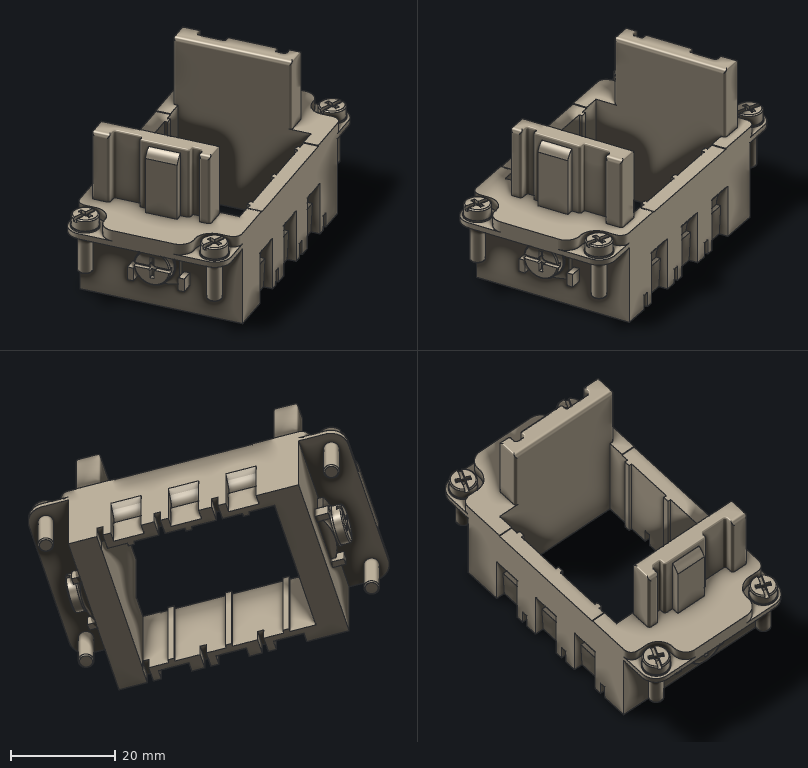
import cadquery as cq
import math

WIDTH = 34.0
LENGTH = 64.0
HEIGHT = 35.0
HALF_WIDTH = WIDTH / 2
HALF_LENGTH = LENGTH / 2

BODY_LENGTH = 46.15
BODY_END = BODY_LENGTH / 2
BODY_TOP = 20.0
OPENING_WIDTH = 27.8
OPENING_LENGTH = 34.6
OPENING_END = OPENING_LENGTH / 2
RAIL_RECESS_LENGTH = 27.5
RAIL_RECESS_DEPTH = 0.2

FLANGE_BOTTOM = 16.6
FLANGE_THICKNESS = 1.15
SEAT_Z = FLANGE_BOTTOM + FLANGE_THICKNESS
FLANGE_RADIUS = 3.5

SCREW_X = 13.5
SCREW_Y = 28.6
SEAT_RADIUS = 3.5
SEAT_INNER_X = 9.4
SEAT_INNER_Y = SCREW_Y - SEAT_RADIUS
SEAT_END_RADIUS = 2.95
SEAT_SIDE_RADIUS = 1.9

COLLAR_DIAMETER = 5.7
COLLAR_HEIGHT = 0.3
HEAD_DIAMETER = 5.45
HEAD_HEIGHT = 2.7
HEAD_CHAMFER = 0.25
SHANK_DIAMETER = 3.0
SHANK_BOTTOM = 7.8
SHANK_CHAMFER = 0.25
DRIVE_ANGLE = 66
DRIVE_WIDTH = 0.8
DRIVE_DEPTH = 0.8
DRIVE_CROSS_LENGTH = 3.1
DRIVE_CENTRE_DIAMETER = 1.3

STATION_PITCH = 11.5
STATIONS = (-STATION_PITCH, 0, STATION_PITCH)
RIB_WIDTH = 1.3
RIB_DEPTH = 0.65
SLOT_WIDTH = 1.2
SLOT_HEIGHT = 3.15
SLOT_OFFSET = 5.25
POCKET_WIDTH = 6.1
POCKET_TOP = 11.2
POCKET_SLOPE = 1.0
POCKET_DEPTH = 2.55
LEDGE_Z = 6.4
LEDGE_DEPTH = 1.6
LEDGE_EDGE = 0.45
POCKET_FOOT_DEPTH = 1.9

TOWER_LEFT = -14.9
TOWER_RIGHT = 9.9
TOWER_OUTER_Y = 22.3
TOWER_MIDDLE_Y = 21.5
TOWER_NOTCH_Y = 20.15
LEFT_LEG_INNER_X = -11.15
RIGHT_LEG_INNER_X = 7.4
MIDDLE_HALF_WIDTH = 5.3
TOWER_EDGE_RADIUS = 0.6
MIDDLE_ROOT_RADIUS = 0.25
TOWER_RIM_RADIUS = 0.45
TOWER_CROWN_RADIUS = 1.0
PAD_WIDTH = 6.65
PAD_TOP = 33.85
PAD_ROUND_BOTTOM = 32.0
PAD_BULGE = 0.2

TERMINAL_Z = 10.95
CLAMP_WIDTH = 8.65
CLAMP_HEIGHT = 8.8
CLAMP_EDGE_DEPTH = 1.15
CLAMP_CENTRE_DEPTH = 2.25
WASHER_DIAMETER = 8.0
WASHER_THICKNESS = 0.4
TERMINAL_SHANK_DIAMETER = 4.0
TERMINAL_DIAMETER = 7.7
TERMINAL_DEPTH = 4.6
TERMINAL_CHAMFER = 0.25
TERMINAL_SLOT_WIDTH = 0.8
TERMINAL_CROSS_LENGTH = 4.5
TERMINAL_CENTRE_DIAMETER = 1.6
TERMINAL_SLOT_DEPTH = 0.95
EAR_CENTRE_X = 5.3
EAR_WIDTH = 1.3
EAR_BOTTOM = 5.95
EAR_HEIGHT = 2.8
EAR_DEPTH = 2.6


def block(size_x, size_y, bottom, top, x=0, y=0):
    """Box centred at (x, y), reaching from bottom to top."""
    return cq.Workplane("XY", origin=(x, y, bottom)).rect(size_x, size_y).extrude(top - bottom)


def both_ends(shape):
    """The shape at the +Y end together with its mirror image at the -Y end."""
    return shape.union(shape.mirror("XZ"))


def all_corners(shape):
    """The shape at the (+X, +Y) corner mirrored into all four corners."""
    return both_ends(shape.union(shape.mirror("YZ")))


def make_seat_cut():
    """Clearance at the (+X, +Y) corner: a round bay flaring out to the two flange edges."""
    bay_x = SEAT_INNER_X + SEAT_RADIUS
    bay_diagonal = SEAT_RADIUS * math.sqrt(0.5)
    end_x = SEAT_INNER_X - SEAT_END_RADIUS
    end_y = HALF_LENGTH - SEAT_END_RADIUS
    end_diagonal = SEAT_END_RADIUS * math.sqrt(0.5)
    side_x = HALF_WIDTH - SEAT_SIDE_RADIUS
    side_y = SEAT_INNER_Y - SEAT_SIDE_RADIUS
    side_diagonal = SEAT_SIDE_RADIUS * math.sqrt(0.5)
    return (
        cq.Workplane("XY", origin=(0, 0, SEAT_Z))
        .moveTo(end_x, HALF_LENGTH)
        .threePointArc((end_x + end_diagonal, end_y + end_diagonal), (SEAT_INNER_X, end_y))
        .lineTo(SEAT_INNER_X, SCREW_Y)
        .threePointArc((bay_x - bay_diagonal, SCREW_Y - bay_diagonal), (bay_x, SEAT_INNER_Y))
        .lineTo(side_x, SEAT_INNER_Y)
        .threePointArc((side_x + side_diagonal, side_y + side_diagonal), (HALF_WIDTH, side_y))
        .lineTo(HALF_WIDTH, HALF_LENGTH)
        .close()
        .extrude(BODY_TOP - SEAT_Z)
    )


def make_frame():
    """Body and flange with the opening, the lowered side rails and the screw seats."""
    flange = block(WIDTH, LENGTH, FLANGE_BOTTOM, BODY_TOP).edges("|Z").fillet(FLANGE_RADIUS)
    flange = flange.cut(all_corners(make_seat_cut()))
    frame = block(WIDTH, BODY_LENGTH, 0, BODY_TOP).union(flange)
    frame = frame.cut(block(OPENING_WIDTH, OPENING_LENGTH, 0, BODY_TOP))
    rib_x = (OPENING_WIDTH - RIB_DEPTH) / 2
    for y in STATIONS:
        for x in (-rib_x, rib_x):
            frame = frame.union(block(RIB_DEPTH, RIB_WIDTH, 0, BODY_TOP, x, y))
    return frame.cut(block(WIDTH, RAIL_RECESS_LENGTH, BODY_TOP - RAIL_RECESS_DEPTH, BODY_TOP))


def make_pocket():
    """Scooped pocket in the -X wall, centred on Y = 0, with a ledge over its flat foot."""
    slope_z = POCKET_TOP - POCKET_SLOPE
    scoop_depth = POCKET_DEPTH - POCKET_SLOPE
    scoop_height = slope_z - LEDGE_Z
    scoop_radius = (scoop_depth**2 + scoop_height**2) / (2 * scoop_depth)
    half_angle = math.asin(scoop_height / scoop_radius) / 2
    scoop_mid = (
        -HALF_WIDTH + POCKET_DEPTH - scoop_radius * (1 - math.cos(half_angle)),
        LEDGE_Z + scoop_radius * math.sin(half_angle),
    )
    return (
        cq.Workplane("XZ", origin=(0, POCKET_WIDTH / 2, 0))
        .moveTo(-HALF_WIDTH, POCKET_TOP)
        .lineTo(-HALF_WIDTH + POCKET_SLOPE, slope_z)
        .threePointArc(scoop_mid, (-HALF_WIDTH + POCKET_DEPTH, LEDGE_Z))
        .lineTo(-HALF_WIDTH + LEDGE_DEPTH, LEDGE_Z)
        .lineTo(-HALF_WIDTH + LEDGE_DEPTH, LEDGE_Z - LEDGE_EDGE)
        .lineTo(-HALF_WIDTH + POCKET_FOOT_DEPTH, 0)
        .lineTo(-HALF_WIDTH, 0)
        .close()
        .extrude(POCKET_WIDTH)
    )


def cut_stations(frame):
    """Cut the pockets and the open-bottomed slots into both side walls."""
    pocket = make_pocket()
    wall_width = (WIDTH - OPENING_WIDTH) / 2
    wall_x = (WIDTH + OPENING_WIDTH) / 4
    pocket_pair = pocket.union(pocket.mirror("YZ"))
    for y in STATIONS:
        frame = frame.cut(pocket_pair.translate((0, y, 0)))
        for x in (-wall_x, wall_x):
            slot = block(wall_width, SLOT_WIDTH, 0, SLOT_HEIGHT, x, y + SLOT_OFFSET)
            frame = frame.cut(slot)
    return frame


def make_tower():
    """Guide tower at the +Y end: two legs and a middle section with a rounded pad."""
    upright = cq.selectors.ParallelDirSelector(cq.Vector(0, 0, 1))
    root = MIDDLE_HALF_WIDTH + MIDDLE_ROOT_RADIUS
    middle_roots = cq.selectors.BoxSelector(
        (-root, TOWER_NOTCH_Y - MIDDLE_ROOT_RADIUS, FLANGE_BOTTOM),
        (root, TOWER_NOTCH_Y + MIDDLE_ROOT_RADIUS, HEIGHT),
    )
    tower = (
        cq.Workplane("XY", origin=(0, 0, FLANGE_BOTTOM))
        .moveTo(TOWER_LEFT, OPENING_END)
        .lineTo(TOWER_LEFT, TOWER_OUTER_Y)
        .lineTo(LEFT_LEG_INNER_X, TOWER_OUTER_Y)
        .lineTo(LEFT_LEG_INNER_X, TOWER_NOTCH_Y)
        .lineTo(-MIDDLE_HALF_WIDTH, TOWER_NOTCH_Y)
        .lineTo(-MIDDLE_HALF_WIDTH, TOWER_MIDDLE_Y)
        .lineTo(MIDDLE_HALF_WIDTH, TOWER_MIDDLE_Y)
        .lineTo(MIDDLE_HALF_WIDTH, TOWER_NOTCH_Y)
        .lineTo(RIGHT_LEG_INNER_X, TOWER_NOTCH_Y)
        .lineTo(RIGHT_LEG_INNER_X, TOWER_OUTER_Y)
        .lineTo(TOWER_RIGHT, TOWER_OUTER_Y)
        .lineTo(TOWER_RIGHT, OPENING_END)
        .close()
        .extrude(HEIGHT - FLANGE_BOTTOM)
        .edges(upright - middle_roots)
        .fillet(TOWER_EDGE_RADIUS)
        .edges(upright & middle_roots)
        .fillet(MIDDLE_ROOT_RADIUS)
        .faces(">Z")
        .edges()
        .fillet(TOWER_RIM_RADIUS)
    )
    depth = TOWER_OUTER_Y - OPENING_END
    width = TOWER_RIGHT - TOWER_LEFT
    crown = block(
        width, depth, FLANGE_BOTTOM, HEIGHT, TOWER_LEFT + width / 2, OPENING_END + depth / 2
    )
    crown = crown.edges("|X and >Z").fillet(TOWER_CROWN_RADIUS)
    return tower.intersect(crown).union(make_pad())


def make_pad():
    """Pad on the tower's outer face, flush with the end wall and rounded off at the top."""
    return (
        cq.Workplane("YZ", origin=(-PAD_WIDTH / 2, 0, 0))
        .moveTo(TOWER_NOTCH_Y, FLANGE_BOTTOM)
        .lineTo(BODY_END, FLANGE_BOTTOM)
        .lineTo(BODY_END, PAD_ROUND_BOTTOM)
        .sagittaArc((TOWER_MIDDLE_Y, PAD_TOP), -PAD_BULGE)
        .lineTo(TOWER_NOTCH_Y, PAD_TOP)
        .close()
        .extrude(PAD_WIDTH)
    )


def make_drive(slot_length, slot_width, cross_length, centre_diameter, depth):
    """Slot and cross recess that sinks from Z = 0 to -depth, with a round centre."""
    slot = block(slot_length, slot_width, -depth, 0)
    cross = block(slot_width, cross_length, -depth, 0)
    centre = cq.Workplane("XY").circle(centre_diameter / 2).extrude(-2 * depth)
    return slot.union(cross).union(centre)


def make_flange_screw():
    """Flange screw on the Z axis, its head resting on the corner seat."""
    head_top = SEAT_Z + HEAD_HEIGHT
    head = (
        cq.Workplane("XY", origin=(0, 0, SEAT_Z))
        .circle(HEAD_DIAMETER / 2)
        .extrude(HEAD_HEIGHT)
        .faces(">Z")
        .chamfer(HEAD_CHAMFER)
    )
    collar = cq.Workplane("XY", origin=(0, 0, SEAT_Z)).circle(COLLAR_DIAMETER / 2)
    head = head.union(collar.extrude(COLLAR_HEIGHT))
    shank = (
        cq.Workplane("XY", origin=(0, 0, SHANK_BOTTOM))
        .circle(SHANK_DIAMETER / 2)
        .extrude(SEAT_Z - SHANK_BOTTOM)
        .faces("<Z")
        .chamfer(SHANK_CHAMFER)
    )
    drive = make_drive(
        HEAD_DIAMETER, DRIVE_WIDTH, DRIVE_CROSS_LENGTH, DRIVE_CENTRE_DIAMETER, DRIVE_DEPTH
    )
    drive = drive.rotate((0, 0, 0), (0, 0, 1), DRIVE_ANGLE).translate((0, 0, head_top))
    return head.union(shank).cut(drive)


def make_terminal():
    """Earth terminal on the +Y end wall: bowed clamp plate, screw head and two ears."""
    clamp = (
        cq.Workplane("XY", origin=(0, BODY_END, TERMINAL_Z - CLAMP_HEIGHT / 2))
        .moveTo(-CLAMP_WIDTH / 2, 0)
        .lineTo(-CLAMP_WIDTH / 2, CLAMP_EDGE_DEPTH)
        .threePointArc((0, CLAMP_CENTRE_DEPTH), (CLAMP_WIDTH / 2, CLAMP_EDGE_DEPTH))
        .lineTo(CLAMP_WIDTH / 2, 0)
        .close()
        .extrude(CLAMP_HEIGHT)
    )
    drive = make_drive(
        TERMINAL_DIAMETER,
        TERMINAL_SLOT_WIDTH,
        TERMINAL_CROSS_LENGTH,
        TERMINAL_CENTRE_DIAMETER,
        TERMINAL_SLOT_DEPTH,
    )
    head_height = TERMINAL_DEPTH - CLAMP_CENTRE_DEPTH
    shank = cq.Workplane("XY").circle(TERMINAL_SHANK_DIAMETER / 2).extrude(CLAMP_CENTRE_DEPTH)
    head = cq.Workplane("XY", origin=(0, 0, CLAMP_CENTRE_DEPTH)).circle(TERMINAL_DIAMETER / 2)
    head = head.extrude(head_height).faces(">Z").chamfer(TERMINAL_CHAMFER)
    washer = cq.Workplane("XY", origin=(0, 0, CLAMP_CENTRE_DEPTH)).circle(WASHER_DIAMETER / 2)
    head = head.union(washer.extrude(WASHER_THICKNESS))
    screw = head.cut(drive.translate((0, 0, TERMINAL_DEPTH))).union(shank)
    screw = screw.rotate((0, 0, 0), (1, 0, 0), -90).translate((0, BODY_END, TERMINAL_Z))
    terminal = clamp.union(screw)
    for x in (-EAR_CENTRE_X, EAR_CENTRE_X):
        ear = block(
            EAR_WIDTH, EAR_DEPTH, EAR_BOTTOM, EAR_BOTTOM + EAR_HEIGHT, x, BODY_END + EAR_DEPTH / 2
        )
        terminal = terminal.union(ear)
    return terminal


result = cut_stations(make_frame())
result = result.union(both_ends(make_tower()))
result = result.union(both_ends(make_terminal()))

flange_screw = make_flange_screw()
for screw_x in (-SCREW_X, SCREW_X):
    for screw_y in (-SCREW_Y, SCREW_Y):
        result = result.union(flange_screw.translate((screw_x, screw_y, 0)))